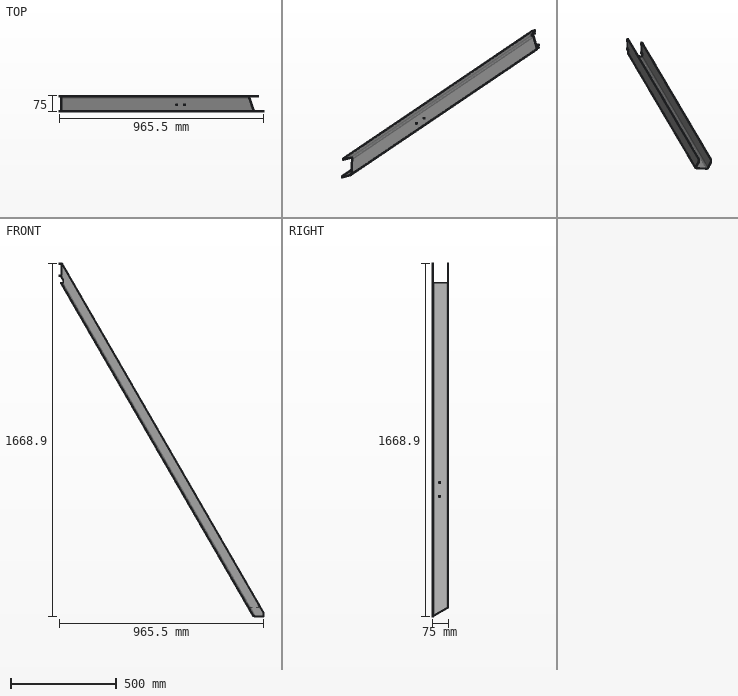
import math

import cadquery as cq

length_x = 965.5
width_y = 75.0
height_z = 1668.91

slope = math.radians(60)
sheet = 4.0
bend_radius = 8.0
flange_depth = 50.75
web_top_drop = 92.0

top_width = 12.25
hook_length = 10.0
hook_height = 6.0
hook_span = 63.0
hook_round = 2.0
relief_drop = 67.0
relief_depth = 9.0
relief_fall = 12.0

miter = math.radians(30)
tip_round = 2.0

hole_diameter = 6.0
hole_y = -4.0
hole_drops = (1037.0, 1102.0)

half_width = width_y / 2
run_per_drop = 1 / math.tan(slope)
sharp_tip_x = top_width + height_z * run_per_drop
tip_setback = sharp_tip_x - length_x
far_end_z = width_y * math.tan(miter)
web_top_z = height_z - web_top_drop


def slope_x(z, depth):
    """X at height z of the sloping line lying depth inside the outer web face."""
    free_edge_x = top_width + (height_z - z) * run_per_drop
    return free_edge_x - (flange_depth - depth) / math.sin(slope)


def flange(outer_y, inward, end_z):
    """Flat flange from outer_y inward (+1 or -1 in Y), hooked on top, level at end_z."""
    lower_hook_z = height_z - hook_span
    relief_z = height_z - relief_drop
    relief_x = hook_length + relief_depth
    blunt_x = slope_x(end_z, flange_depth) - tip_setback
    outline = [
        (0, height_z),
        (top_width, height_z),
        (blunt_x, end_z + tip_setback / run_per_drop),
        (blunt_x, end_z),
        (slope_x(end_z, bend_radius), end_z),
        (slope_x(web_top_z, bend_radius), web_top_z),
        (relief_x, web_top_z),
        (relief_x, relief_z - relief_fall),
        (hook_length, relief_z),
        (hook_length, lower_hook_z),
        (0, lower_hook_z),
        (0, lower_hook_z + hook_height),
        (hook_length, lower_hook_z + hook_height),
        (hook_length, height_z - hook_height),
        (0, height_z - hook_height),
    ]
    plate = (
        cq.Workplane("XZ", origin=(0, outer_y, 0))
        .polyline(outline)
        .close()
        .extrude(-inward * sheet)
    )
    plate = plate.edges("|Y").edges(">X").fillet(tip_round)
    return plate.edges("|Y").edges("<X").fillet(hook_round)


def web_stock():
    """Web and both folds as one long bar, running past both trimmed ends."""
    section = cq.Plane(
        origin=(slope_x(height_z, 0), 0, height_z),
        xDir=(0, 1, 0),
        normal=(math.cos(slope), 0, -math.sin(slope)),
    )
    length = (height_z + web_top_drop) / math.sin(slope)
    flat_half = half_width - bend_radius
    return (
        cq.Workplane(section)
        .moveTo(-flat_half, 0)
        .lineTo(flat_half, 0)
        .radiusArc((half_width, bend_radius), -bend_radius)
        .lineTo(half_width - sheet, bend_radius)
        .radiusArc((flat_half, sheet), bend_radius - sheet)
        .lineTo(-flat_half, sheet)
        .radiusArc((sheet - half_width, bend_radius), bend_radius - sheet)
        .lineTo(-half_width, bend_radius)
        .radiusArc((-flat_half, 0), -bend_radius)
        .close()
        .extrude(length)
    )


def web():
    """Web trimmed level at the top and mitred at the lower end."""
    trim = (
        cq.Workplane("YZ")
        .polyline([
            (-half_width, 0),
            (half_width, far_end_z),
            (half_width, web_top_z),
            (-half_width, web_top_z),
        ])
        .close()
        .extrude(length_x)
    )
    return web_stock().intersect(trim)


def web_hole(drop):
    """Drill for a hole square through the web."""
    z = height_z - drop
    plane = cq.Plane(
        origin=(slope_x(z, 0), hole_y, z),
        xDir=(0, 1, 0),
        normal=(math.sin(slope), 0, math.cos(slope)),
    )
    return cq.Workplane(plane).circle(hole_diameter / 2).extrude(2 * sheet, both=True)


near_flange = flange(-half_width, 1, 0)
far_flange = flange(half_width, -1, far_end_z)
result = web().union(near_flange).union(far_flange)
for hole_drop in hole_drops:
    result = result.cut(web_hole(hole_drop))